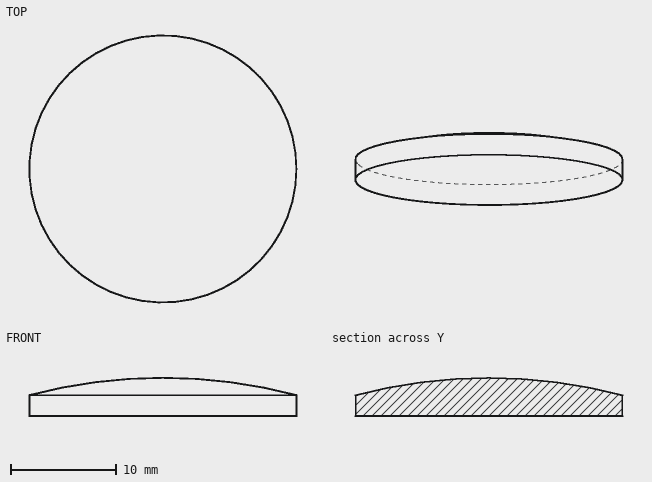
import cadquery as cq
import math

diameter = 25.4
total_height = 3.65
rim_height = 2.0

radius = diameter / 2
cap_height = total_height - rim_height
sphere_radius = (radius**2 + cap_height**2) / (2 * cap_height)

half_angle = math.asin(radius / sphere_radius) / 2
sphere_center_z = total_height - sphere_radius
arc_middle = (
    sphere_radius * math.sin(half_angle),
    sphere_center_z + sphere_radius * math.cos(half_angle),
)

half_section = (
    cq.Workplane("XZ")
    .lineTo(radius, 0)
    .lineTo(radius, rim_height)
    .threePointArc(arc_middle, (0, total_height))
    .close()
)

result = half_section.revolve(360, (0, 0, 0), (0, 1, 0))